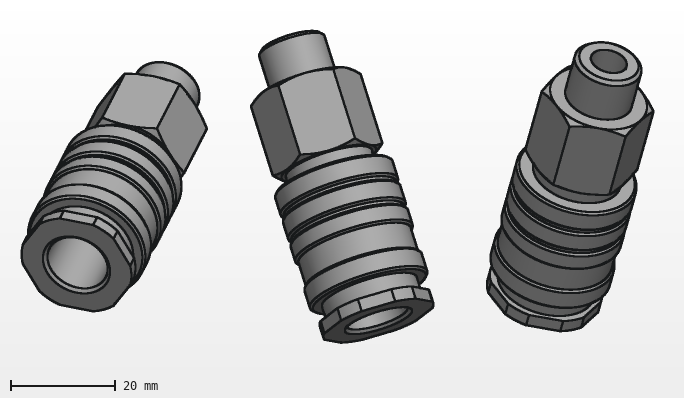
import cadquery as cq
import math

LENGTH = 57.5

FLANGE_DIAMETER = 22.0
FLANGE_ACROSS_FLATS = 21.0
FLANGE_THICKNESS = 2.55

FRONT_NECK_DIAMETER = 19.0
REAR_NECK_DIAMETER = 17.25
SPIGOT_DIAMETER = 13.1
SPIGOT_LENGTH = 9.0
SPIGOT_CHAMFER = 0.75

SLEEVE_DIAMETER = 22.5
RING_DIAMETER = 23.5
RING_CHAMFER = 0.45
RINGS = [(6.0, 10.45), (15.6, 19.5), (20.2, 24.5), (25.2, 29.6)]
SLEEVE_START = RINGS[0][0] + RING_CHAMFER
SLEEVE_END = RINGS[-1][1] - RING_CHAMFER

HEX_ACROSS_FLATS = 19.0
HEX_LENGTH = 16.0
HEX_CHAMFER_ANGLE = 30.0
HEX_END = LENGTH - SPIGOT_LENGTH
HEX_START = HEX_END - HEX_LENGTH

SOCKET_DIAMETER = 12.1
SOCKET_DEPTH = 23.0
SOCKET_CHAMFER = 0.7
BORE_DIAMETER = 7.0


def y_plane(start):
    """Plane facing +Y at the given distance from the mouth, with local x along X."""
    return cq.Workplane(cq.Plane(origin=(0, start - LENGTH / 2, 0), xDir=(1, 0, 0), normal=(0, 1, 0)))


def cylinder(diameter, start, end):
    return y_plane(start).circle(diameter / 2).extrude(end - start)


def hexagon(across_flats, start, end):
    across_corners = across_flats / math.cos(math.radians(30))
    return y_plane(start).polygon(6, across_corners).extrude(end - start)


def make_flange():
    disc = cylinder(FLANGE_DIAMETER, 0, FLANGE_THICKNESS)
    return disc.intersect(hexagon(FLANGE_ACROSS_FLATS, 0, FLANGE_THICKNESS))


def make_sleeve():
    sleeve = cylinder(SLEEVE_DIAMETER, SLEEVE_START, SLEEVE_END)
    for start, end in RINGS:
        sleeve = sleeve.union(cylinder(RING_DIAMETER, start, end).edges("%CIRCLE").chamfer(RING_CHAMFER))
    return sleeve


def make_wrench_hex():
    """Hexagon whose corners are turned off by a shallow cone at both ends."""
    flat_radius = HEX_ACROSS_FLATS / 2
    corner_radius = flat_radius / math.cos(math.radians(30))
    corner_drop = (corner_radius - flat_radius) * math.tan(math.radians(HEX_CHAMFER_ANGLE))
    start = HEX_START - LENGTH / 2
    end = HEX_END - LENGTH / 2
    envelope = (
        cq.Workplane("XY")
        .moveTo(0, start)
        .lineTo(flat_radius, start)
        .lineTo(corner_radius, start + corner_drop)
        .lineTo(corner_radius, end - corner_drop)
        .lineTo(flat_radius, end)
        .lineTo(0, end)
        .close()
        .revolve(360, (0, 0, 0), (0, 1, 0))
    )
    return hexagon(HEX_ACROSS_FLATS, HEX_START, HEX_END).intersect(envelope)


def make_spigot():
    return cylinder(SPIGOT_DIAMETER, HEX_END, LENGTH).faces(">Y").chamfer(SPIGOT_CHAMFER)


def make_bores():
    """Material removed by the socket, its mouth chamfer and the through bore."""
    socket = cylinder(SOCKET_DIAMETER, 0, SOCKET_DEPTH)
    mouth_diameter = SOCKET_DIAMETER + 2 * SOCKET_CHAMFER
    mouth = cylinder(mouth_diameter, 0, 2 * SOCKET_CHAMFER).faces(">Y").chamfer(SOCKET_CHAMFER)
    mouth = mouth.translate((0, -SOCKET_CHAMFER, 0))
    return cylinder(BORE_DIAMETER, 0, LENGTH).union(socket).union(mouth)


body = make_flange()
body = body.union(cylinder(FRONT_NECK_DIAMETER, FLANGE_THICKNESS, SLEEVE_START))
body = body.union(make_sleeve())
body = body.union(cylinder(REAR_NECK_DIAMETER, SLEEVE_END, HEX_START))
body = body.union(make_wrench_hex())
body = body.union(make_spigot())
result = body.cut(make_bores())